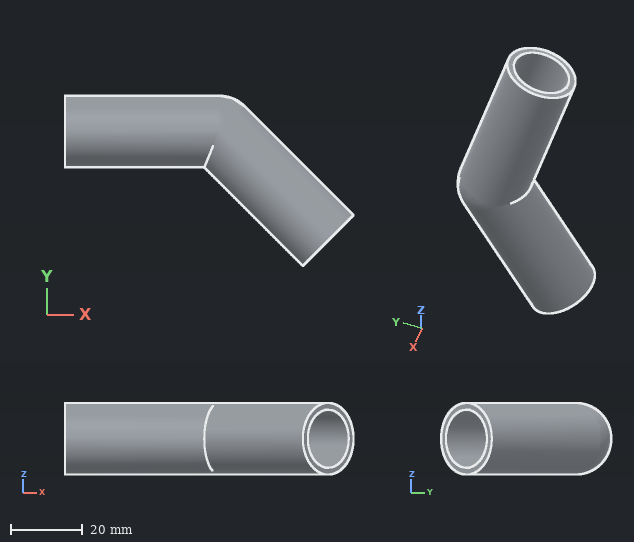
import cadquery as cq
import math

overall_length = 80.5
outer_diameter = 20.0
bore_diameter = 16.2
bend_angle = 45.0

outer_radius = outer_diameter / 2
bore_radius = bore_diameter / 2
bend_cos = math.cos(math.radians(bend_angle))
bend_sin = math.sin(math.radians(bend_angle))

leg_length = (overall_length - outer_radius * bend_sin) / (1 + bend_cos)


def leg(radius, direction):
    """Cylinder from the bend centre (the origin) out to an open end."""
    return cq.Workplane(cq.Solid.makeCylinder(radius, leg_length, cq.Vector(0, 0, 0), direction))


def elbow(radius):
    """Two round legs joined by a ball of the same radius."""
    straight_leg = leg(radius, cq.Vector(-1, 0, 0))
    angled_leg = leg(radius, cq.Vector(bend_cos, -bend_sin, 0))
    ball = cq.Workplane("XY").sphere(radius)
    return straight_leg.union(angled_leg).union(ball)


result = elbow(outer_radius).cut(elbow(bore_radius))